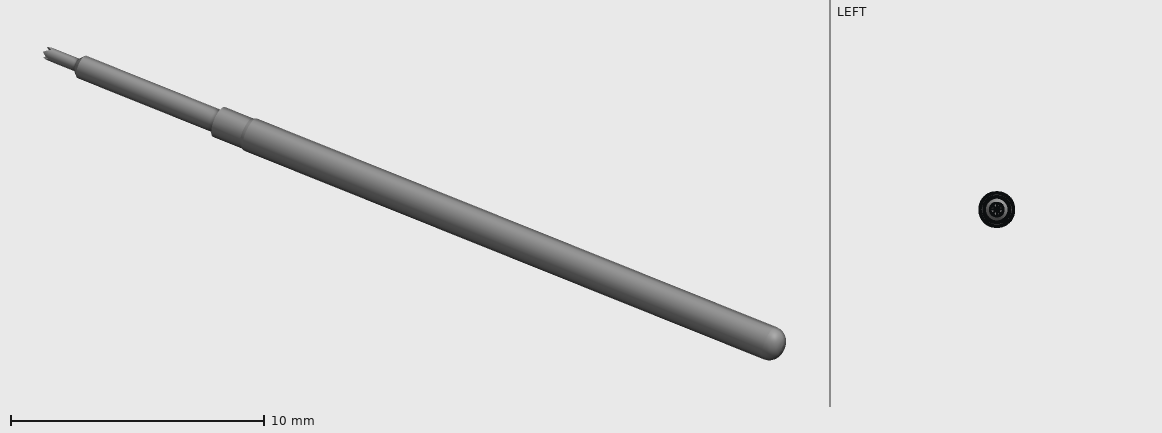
import math

import cadquery as cq

TOTAL_LENGTH = 33.27
BARREL_DIAMETER = 1.37
COLLAR_DIAMETER = 1.27
PLUNGER_DIAMETER = 0.95
TIP_DIAMETER = 0.53

TIP_END = 1.45
PLUNGER_START = 1.67
COLLAR_START = 7.85
COLLAR_END = 9.14
BARREL_START = 9.29

END_ROUND_RADIUS = 0.56

MOUTH_DIAMETER = 1.06
MOUTH_DEPTH = 0.3

GROOVE_DEPTH = 0.3
GROOVE_HALF_WIDTH = 0.16
CROWN_CONE_LENGTH = 0.22

BARREL_RADIUS = BARREL_DIAMETER / 2
COLLAR_RADIUS = COLLAR_DIAMETER / 2
MOUTH_RADIUS = MOUTH_DIAMETER / 2
PLUNGER_RADIUS = PLUNGER_DIAMETER / 2
TIP_RADIUS = TIP_DIAMETER / 2
CROWN_POINT_RADIUS = GROOVE_HALF_WIDTH * math.sqrt(2)


def turned_body():
    """Revolve the stepped half outline about the X axis."""
    round_start = TOTAL_LENGTH - END_ROUND_RADIUS
    end_flat_radius = BARREL_RADIUS - END_ROUND_RADIUS
    round_rise = END_ROUND_RADIUS * math.sqrt(0.5)
    round_middle = (round_start + round_rise, end_flat_radius + round_rise)
    mouth_floor = COLLAR_START + MOUTH_DEPTH
    return (
        cq.Workplane("XY")
        .moveTo(0, 0)
        .lineTo(0, CROWN_POINT_RADIUS)
        .lineTo(CROWN_CONE_LENGTH, TIP_RADIUS)
        .lineTo(TIP_END, TIP_RADIUS)
        .lineTo(PLUNGER_START, PLUNGER_RADIUS)
        .lineTo(mouth_floor, PLUNGER_RADIUS)
        .lineTo(mouth_floor, MOUTH_RADIUS)
        .lineTo(COLLAR_START, MOUTH_RADIUS)
        .lineTo(COLLAR_START, COLLAR_RADIUS)
        .lineTo(COLLAR_END, COLLAR_RADIUS)
        .lineTo(BARREL_START, BARREL_RADIUS)
        .lineTo(round_start, BARREL_RADIUS)
        .threePointArc(round_middle, (TOTAL_LENGTH, end_flat_radius))
        .lineTo(TOTAL_LENGTH, 0)
        .close()
        .revolve(360, (0, 0, 0), (1, 0, 0))
    )


def crown_groove(plane):
    """V groove across the tip, running along the normal of the given plane."""
    return (
        cq.Workplane(plane)
        .moveTo(0, -GROOVE_HALF_WIDTH)
        .lineTo(GROOVE_DEPTH, 0)
        .lineTo(0, GROOVE_HALF_WIDTH)
        .close()
        .extrude(TIP_DIAMETER, both=True)
    )


probe = turned_body()
for groove_plane in ("XY", "XZ"):
    probe = probe.cut(crown_groove(groove_plane))

result = probe